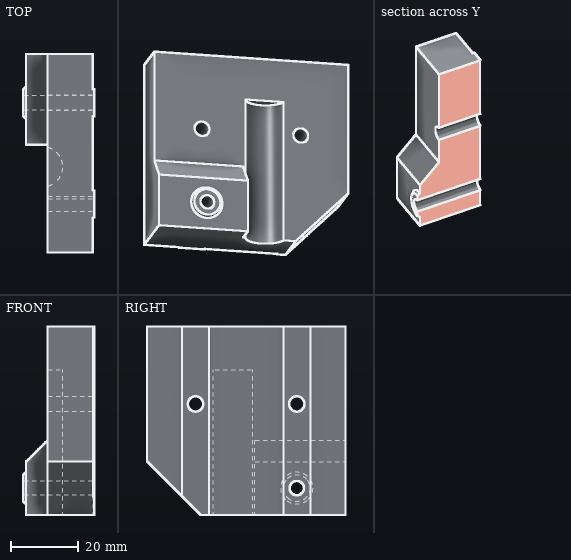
import cadquery as cq
import math

plate_width = 59.0
plate_height = 56.0
plate_thickness = 13.5
corner_cut = 16.0

block_width = 27.0
block_height = 22.1
block_depth = 6.4

boss_base_diameter = 9.5
boss_tip_diameter = 7.9
boss_height = 0.8
boss_center_z = 8.0
boss_bore_diameter = 4.2

hole_diameter = 4.5
hole_spacing = 30.05
hole_edge_distance = 14.5
hole_center_z = 33.0
pad_width = 8.0
pad_thickness = 0.5

groove_radius = 6.0
groove_axis_offset = 1.5
groove_height = 43.0
groove_center_y = -4.0

half_width = plate_width / 2
boss_center_y = half_width - hole_edge_distance
hole_centers_y = (boss_center_y, boss_center_y - hole_spacing)
rear_x = plate_thickness + pad_thickness
boss_tip_x = -block_depth - boss_height
total_depth = rear_x - boss_tip_x


def box_from_corner(x, y, z, length, width, height):
    """Box extending in the positive directions from its corner."""
    return cq.Workplane("XY").box(length, width, height, centered=False).translate((x, y, z))


def cylinder_along_x(y, z, diameter):
    """Cylinder that spans the whole part along X."""
    return cq.Workplane("YZ", origin=(boss_tip_x, y, z)).circle(diameter / 2).extrude(total_depth)


body = box_from_corner(0, -half_width, 0, plate_thickness, plate_width, plate_height)
for center_y in hole_centers_y:
    pad_start_y = center_y - pad_width / 2
    body = body.union(box_from_corner(0, pad_start_y, 0, rear_x, pad_width, plate_height))

corner = (
    cq.Workplane("YZ")
    .polyline([(-half_width, 0), (corner_cut - half_width, 0), (-half_width, corner_cut)])
    .close()
    .extrude(rear_x)
)
body = body.cut(corner)

groove = (
    cq.Workplane("XY")
    .center(-groove_axis_offset, groove_center_y)
    .circle(groove_radius)
    .extrude(groove_height)
)
body = body.cut(groove)

block = (
    cq.Workplane("XZ", origin=(0, half_width, 0))
    .polyline([(0, 0), (0, block_height), (-block_depth, block_height - block_depth), (-block_depth, 0)])
    .close()
    .extrude(block_width)
)
body = body.union(block)

boss_taper = math.degrees(math.atan2((boss_base_diameter - boss_tip_diameter) / 2, boss_height))
boss = (
    cq.Workplane("YZ", origin=(-block_depth, boss_center_y, boss_center_z))
    .circle(boss_base_diameter / 2)
    .extrude(-boss_height, taper=boss_taper)
)
body = body.union(boss)

for center_y in hole_centers_y:
    body = body.cut(cylinder_along_x(center_y, hole_center_z, hole_diameter))
body = body.cut(cylinder_along_x(boss_center_y, boss_center_z, boss_bore_diameter))

result = body